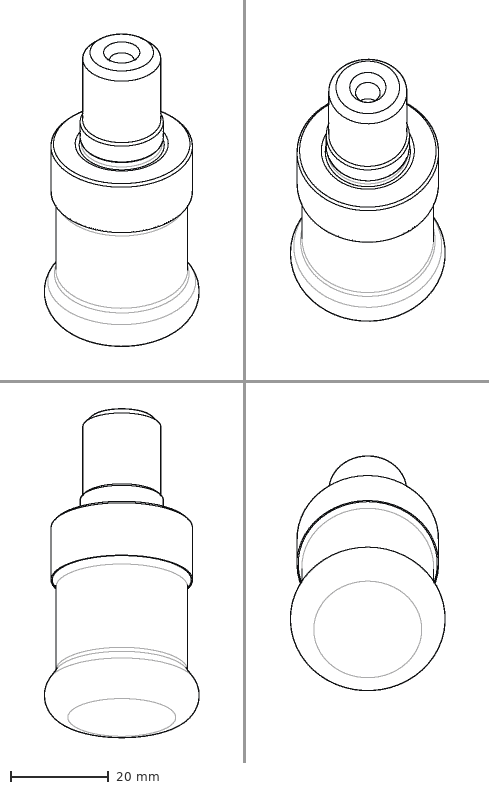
import cadquery as cq
import math

TOTAL_HEIGHT = 65.0

FOOT_DIAMETER = 31.7
FOOT_ROUND_RADIUS = 4.8
FOOT_CONE_LOWER_DIAMETER = 30.3
FOOT_CONE_UPPER_DIAMETER = 27.55
FOOT_CONE_UPPER_Z = 9.3
BARREL_DIAMETER = 27.0
BARREL_BOTTOM_Z = 10.3
BARREL_TOP_Z = 28.5
HEAD_DIAMETER = 29.0
HEAD_BOTTOM_Z = 30.0
HEAD_TOP_Z = 42.0
HEAD_CHAMFER = 0.5
UNDERCUT_RADIUS = 2.0

MOUTH_DIAMETER = 19.05

SEAT_DIAMETER = 17.4
NECK_BOTTOM_Z = 42.1
NECK_DIAMETER = 16.6
NECK_TOP_Z = 43.2
COLLAR_DIAMETER = 17.0
COLLAR_BOTTOM_Z = 43.55
COLLAR_TOP_Z = 48.05
SHAFT_DIAMETER = 16.0
SHAFT_CHAMFER = 1.5

HOLE_DIAMETER = 5.0
HOLE_DEPTH = 7.8
COUNTERSINK_DIAMETER = 7.4
COUNTERSINK_DEPTH = 1.9
DRILL_TIP_ANGLE = 118.0

FOOT_RADIUS = FOOT_DIAMETER / 2
BARREL_RADIUS = BARREL_DIAMETER / 2
HEAD_RADIUS = HEAD_DIAMETER / 2
SEAT_RADIUS = SEAT_DIAMETER / 2
NECK_RADIUS = NECK_DIAMETER / 2
NECK_FILLET = SEAT_RADIUS - NECK_RADIUS
SEAT_TOP_Z = NECK_BOTTOM_Z - NECK_FILLET
COLLAR_RADIUS = COLLAR_DIAMETER / 2
SHAFT_RADIUS = SHAFT_DIAMETER / 2
HOLE_RADIUS = HOLE_DIAMETER / 2
COLLAR_CHAMFER = COLLAR_RADIUS - SHAFT_RADIUS
PIN_BOTTOM_Z = HEAD_BOTTOM_Z


def revolve_about_z(profile):
    """Turn a closed (radius, Z) profile into a solid about the Z axis."""
    return profile.close().revolve(360, (0, 0, 0), (0, 1, 0))


def make_housing():
    round_center = FOOT_RADIUS - FOOT_ROUND_RADIUS
    cone_lower_radius = FOOT_CONE_LOWER_DIAMETER / 2
    cone_lower_z = FOOT_ROUND_RADIUS + math.sqrt(
        FOOT_ROUND_RADIUS**2 - (cone_lower_radius - round_center) ** 2
    )
    undercut_height = HEAD_BOTTOM_Z - BARREL_TOP_Z
    undercut_width = UNDERCUT_RADIUS - math.sqrt(UNDERCUT_RADIUS**2 - undercut_height**2)

    profile = (
        cq.Workplane("XZ")
        .lineTo(round_center, 0)
        .threePointArc((FOOT_RADIUS, FOOT_ROUND_RADIUS), (cone_lower_radius, cone_lower_z))
        .lineTo(FOOT_CONE_UPPER_DIAMETER / 2, FOOT_CONE_UPPER_Z)
        .tangentArcPoint((BARREL_RADIUS, BARREL_BOTTOM_Z), relative=False)
        .lineTo(BARREL_RADIUS, BARREL_TOP_Z)
        .tangentArcPoint((BARREL_RADIUS + undercut_width, HEAD_BOTTOM_Z), relative=False)
        .lineTo(HEAD_RADIUS, HEAD_BOTTOM_Z)
        .lineTo(HEAD_RADIUS, HEAD_TOP_Z - HEAD_CHAMFER)
        .lineTo(HEAD_RADIUS - HEAD_CHAMFER, HEAD_TOP_Z)
        .lineTo(MOUTH_DIAMETER / 2, HEAD_TOP_Z)
        .lineTo(SEAT_RADIUS, SEAT_TOP_Z)
        .lineTo(SEAT_RADIUS, PIN_BOTTOM_Z)
        .lineTo(0, PIN_BOTTOM_Z)
    )
    return revolve_about_z(profile)


def make_center_hole():
    """Blind drilled hole with a conical tip and a conical mouth."""
    countersink_radius = COUNTERSINK_DIAMETER / 2
    tip_height = HOLE_RADIUS / math.tan(math.radians(DRILL_TIP_ANGLE / 2))
    hole_floor_z = TOTAL_HEIGHT - HOLE_DEPTH
    profile = (
        cq.Workplane("XZ")
        .moveTo(0, TOTAL_HEIGHT)
        .lineTo(0, hole_floor_z - tip_height)
        .lineTo(HOLE_RADIUS, hole_floor_z)
        .lineTo(HOLE_RADIUS, TOTAL_HEIGHT - COUNTERSINK_DEPTH)
        .lineTo(countersink_radius, TOTAL_HEIGHT)
    )
    return revolve_about_z(profile)


def make_pin():
    profile = (
        cq.Workplane("XZ")
        .moveTo(0, PIN_BOTTOM_Z)
        .lineTo(SEAT_RADIUS, PIN_BOTTOM_Z)
        .lineTo(SEAT_RADIUS, SEAT_TOP_Z)
        .radiusArc((NECK_RADIUS, NECK_BOTTOM_Z), NECK_FILLET)
        .lineTo(NECK_RADIUS, NECK_TOP_Z)
        .lineTo(COLLAR_RADIUS, COLLAR_BOTTOM_Z)
        .lineTo(COLLAR_RADIUS, COLLAR_TOP_Z - COLLAR_CHAMFER)
        .lineTo(SHAFT_RADIUS, COLLAR_TOP_Z)
        .lineTo(SHAFT_RADIUS, TOTAL_HEIGHT - SHAFT_CHAMFER)
        .lineTo(SHAFT_RADIUS - SHAFT_CHAMFER, TOTAL_HEIGHT)
        .lineTo(0, TOTAL_HEIGHT)
    )
    return revolve_about_z(profile).cut(make_center_hole())


housing = make_housing()
pin = make_pin()

result = cq.Compound.makeCompound([housing.val(), pin.val()])